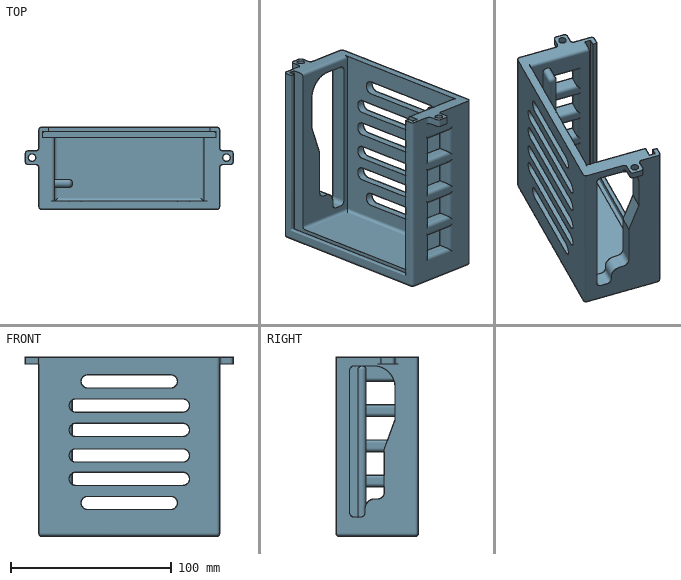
import cadquery as cq

overall_width = 130.0
box_width = 113.1
depth = 51.5
height = 112.0
round_radius = 2.0

front_wall = 5.2
side_wall = 10.0
floor_thickness = 6.8
front_face = -depth / 2
back_face = depth / 2
cavity_front = front_face + front_wall
cavity_half_width = box_width / 2 - side_wall
floor_level = floor_thickness - height

groove_width = 108.3
groove_thickness = 3.8
groove_front = 19.1
groove_depth_in_floor = 3.9
back_opening_width = 100.6
groove_corner_radius = 0.5

ear_width = 8.7
ear_thickness = 4.4
ear_y = 6.6
ear_hole_diameter = 4.5
ear_hole_inset = 4.3
ear_anchor = 1.3

slot_height = 8.0
short_slot = 60.0
long_slot = 75.1
slots = [
    (15.2, short_slot),
    (30.3, long_slot),
    (45.5, long_slot),
    (61.5, long_slot),
    (76.0, long_slot),
    (91.1, short_slot),
]

window_count = 4
window_pitch = 22.0
first_window_depth = 22.5
window_y = 2.0
window_width = 18.3
window_height = 14.5
window_outer_round = 2.3
window_inner_round = 2.1

opening_top = -5.5
opening_front = -17.3
opening_back = 11.0
opening_big_radius = 13.4
opening_small_radius = 3.0
taper_top = -39.0
taper_bottom = -57.6
neck_back = 4.3
sill_level = -88.5
sill_inner_radius = 3.9
sill_outer_radius = 6.0
channel_back = -7.5
opening_bottom = -100.0

rib_length = 11.0
rib_thickness = 5.1
rib_y = -9.5
rib_top = -5.6
rib_round = 2.3
rib_overlap = 1.3


def block(x_range, y_range, z_range):
    """Axis-aligned block given by its limits along each axis."""
    size = [high - low for low, high in (x_range, y_range, z_range)]
    corner = (x_range[0], y_range[0], z_range[0])
    return cq.Workplane("XY").box(*size, centered=False).translate(corner)


def make_shell():
    """Rounded box with the cavity hollowed out from the top and back."""
    box = block((-box_width / 2, box_width / 2), (front_face, back_face), (-height, 0))
    box = box.edges("|Z").fillet(round_radius)
    box = box.faces("<Z").edges().fillet(round_radius)
    cavity = block(
        (-cavity_half_width, cavity_half_width),
        (cavity_front, back_face),
        (floor_level, round_radius),
    )
    floor_edges = cavity.faces("<Z").edges("not >Y")
    return box.cut(floor_edges.fillet(round_radius))


def round_side_tops(body):
    """Round the inner top edge of both side walls."""
    for side in (-1, 1):
        edge = cq.selectors.NearestToPointSelector((side * cavity_half_width, 0, 0))
        body = body.edges(edge).fillet(round_radius)
    return body


def make_cover_groove():
    """Groove for a sliding cover, and the opening in the lip behind it, with eased bottoms."""
    groove = block(
        (-groove_width / 2, groove_width / 2),
        (groove_front, groove_front + groove_thickness),
        (floor_level - groove_depth_in_floor, 0),
    )
    back_opening = block(
        (-back_opening_width / 2, back_opening_width / 2),
        (groove_front, back_face),
        (floor_level, 0),
    )
    groove = groove.faces("<Z").edges("not <Y").fillet(groove_corner_radius)
    back_opening = back_opening.faces("<Z").edges("|Y").fillet(groove_corner_radius)
    return groove.union(back_opening)


def round_lip_top(body):
    """Round the outer edge of the low lip that closes the groove at the back."""
    edge = cq.selectors.NearestToPointSelector((0, back_face, floor_level))
    return body.edges(edge).fillet(groove_corner_radius)


def make_ears():
    """Two drilled ears, blended into the box sides, each with a short anchor inside the wall."""
    bar = cq.Workplane("XY").box(overall_width, ear_width, ear_thickness)
    bar = bar.edges("|Z").fillet(round_radius)
    root_width = ear_width + 4 * round_radius
    ears = bar.union(cq.Workplane("XY").box(box_width, root_width, ear_thickness))
    for side_x in (-box_width / 2, box_width / 2):
        for side_y in (-ear_width / 2, ear_width / 2):
            inner_corner = cq.selectors.NearestToPointSelector((side_x, side_y, 0))
            ears = ears.edges(inner_corner).fillet(round_radius)
    hole_x = overall_width / 2 - ear_hole_inset
    ears = ears.faces(">Z").workplane(origin=(0, 0, 0))
    ears = ears.pushPoints([(-hole_x, 0), (hole_x, 0)]).hole(ear_hole_diameter)
    inner_limit = box_width / 2 - ear_anchor
    between_anchors = block((-inner_limit, inner_limit), (-depth, depth), (-height, height))
    return ears.cut(between_anchors).translate((0, ear_y, -ear_thickness / 2))


def make_slots():
    """Round-ended slots through the front wall."""
    cutters = cq.Workplane("XY")
    for slot_depth, length in slots:
        slot = cq.Workplane("XZ", origin=(0, cavity_front, -slot_depth))
        cutters = cutters.add(slot.slot2D(length, slot_height).extrude(front_wall))
    return cutters.combine()


def make_window():
    """Rectangular window flaring towards both faces of the wall."""
    wall = block((-box_width / 2, -cavity_half_width), (-depth, depth), (-depth, depth))
    tunnel = block(
        (-box_width / 2, -cavity_half_width),
        (-window_width / 2, window_width / 2),
        (-window_height / 2, window_height / 2),
    )
    mouth = cq.selectors.BoxSelector(
        (-box_width, -window_width, -window_width), (0, window_width, window_width)
    )
    rim = wall.cut(tunnel)
    rim = rim.faces("<X").edges(mouth).fillet(window_outer_round)
    rim = rim.faces(">X").edges(mouth).fillet(window_inner_round)
    return wall.cut(rim)


def make_side_opening():
    """Stepped opening through the +X wall, narrowing downwards."""
    profile = (
        cq.Workplane("YZ", origin=(cavity_half_width, 0, 0))
        .moveTo(opening_front, opening_top)
        .lineTo(opening_back, opening_top)
        .lineTo(opening_back, taper_top)
        .lineTo(neck_back, taper_bottom)
        .lineTo(neck_back, sill_level)
        .lineTo(channel_back, sill_level)
        .lineTo(channel_back, opening_bottom)
        .lineTo(opening_front, opening_bottom)
        .close()
        .extrude(side_wall)
    )
    rounded_corners = [
        (opening_back, opening_top, opening_big_radius),
        (opening_front, opening_top, opening_small_radius),
        (neck_back, sill_level, sill_inner_radius),
        (channel_back, sill_level, sill_outer_radius),
        (channel_back, opening_bottom, opening_small_radius),
        (opening_front, opening_bottom, opening_small_radius),
    ]
    middle_x = cavity_half_width + side_wall / 2
    for y, z, radius in rounded_corners:
        corner = cq.selectors.NearestToPointSelector((middle_x, y, z))
        profile = profile.edges(corner).fillet(radius)
    return profile


def make_rib():
    """Upright rib on the -X wall with rounded free edges."""
    rib = block(
        (-cavity_half_width - rib_overlap, -cavity_half_width + rib_length),
        (rib_y - rib_thickness / 2, rib_y + rib_thickness / 2),
        (floor_level - rib_overlap, rib_top),
    )
    rib = rib.edges(">X and |Z").fillet(rib_round)
    return rib.faces(">Z").edges("not <X").fillet(rib_round)


result = round_side_tops(make_shell())
result = round_lip_top(result.cut(make_cover_groove()))
result = result.union(make_ears()).cut(make_slots())
window = make_window()
for index in range(window_count):
    window_z = -first_window_depth - index * window_pitch
    result = result.cut(window.translate((0, window_y, window_z)))
result = result.cut(make_side_opening()).union(make_rib())